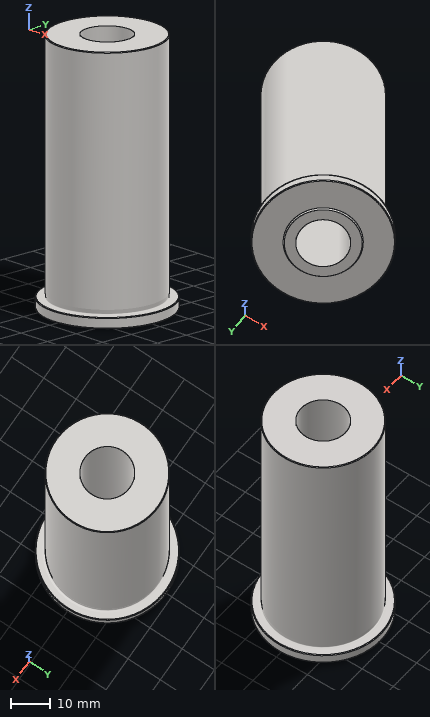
import cadquery as cq

total_height = 74.0
flange_radius = 18.5
body_radius = 16.0
bore_radius = 7.0

pad_bottom_radius = 10.0
pad_top_radius = 10.3
pad_height = 0.5

flange_thickness = 3.0
flange_top = pad_height + flange_thickness
edge_chamfer = 0.2

relief_height = 1.25
relief_overhang = 0.6
relief_depth = 0.15
relief_face_depth = 0.1
relief_radius = relief_depth + relief_face_depth


def half_section():
    """Solid half section in the XZ plane, drawn from the axis outwards."""
    groove_radius = body_radius - relief_depth
    groove_floor = flange_top - relief_face_depth
    return (
        cq.Workplane("XZ")
        .moveTo(0, 0)
        .lineTo(pad_bottom_radius, 0)
        .lineTo(pad_top_radius, pad_height)
        .lineTo(flange_radius - edge_chamfer, pad_height)
        .lineTo(flange_radius, pad_height + edge_chamfer)
        .lineTo(flange_radius, flange_top - edge_chamfer)
        .lineTo(flange_radius - edge_chamfer, flange_top)
        .lineTo(body_radius + relief_overhang, flange_top)
        .lineTo(groove_radius + relief_radius, groove_floor)
        .radiusArc((groove_radius, groove_floor + relief_radius), relief_radius)
        .lineTo(body_radius, flange_top + relief_height)
        .lineTo(body_radius, total_height - edge_chamfer)
        .lineTo(body_radius - edge_chamfer, total_height)
        .lineTo(0, total_height)
        .close()
    )


def bore():
    return cq.Workplane("XY").circle(bore_radius).extrude(total_height)


result = half_section().revolve(360, (0, 0, 0), (0, 1, 0)).cut(bore())